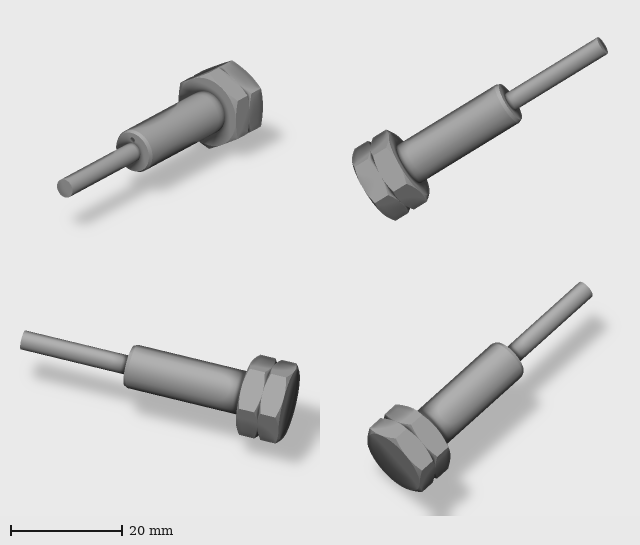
import cadquery as cq
import math

total_length = 50.0
cable_diameter = 3.5
cable_length = 20.0
body_diameter = 8.0
body_tip_chamfer_length = 0.65
body_tip_chamfer_depth = 0.3
indicator_diameter = 1.0
indicator_offset = 2.35
indicator_depth = 0.5
nut_thickness = 4.0
nut_count = 2
nut_across_flats = 13.0
nut_chamfer_angle = 30.0

nut_across_corners = nut_across_flats / math.cos(math.pi / 6)
body_length = total_length - cable_length
half_length = total_length / 2
cable_tip_y = -half_length
body_tip_y = cable_tip_y + cable_length


def plane_at(y):
    """Sketch plane at the given Y, with its normal along +Y and local y along +Z."""
    return cq.Workplane(cq.Plane(origin=(0, y, 0), xDir=(-1, 0, 0), normal=(0, 1, 0)))


def make_body():
    """Cylinder with a slender conical edge at its cable end."""
    radius = body_diameter / 2
    profile = (
        cq.Workplane("XY")
        .moveTo(0, body_tip_y)
        .lineTo(radius - body_tip_chamfer_depth, body_tip_y)
        .lineTo(radius, body_tip_y + body_tip_chamfer_length)
        .lineTo(radius, body_tip_y + body_length)
        .lineTo(0, body_tip_y + body_length)
        .close()
    )
    return profile.revolve(360, (0, 0, 0), (0, 1, 0))


def make_nut(start_y):
    """Hexagon nut with corners at +Z and -Z, coned off at both faces."""
    hexagon = (
        plane_at(start_y)
        .transformed(rotate=(0, 0, 90))
        .polygon(6, nut_across_corners)
        .extrude(nut_thickness)
    )
    face_radius = nut_across_flats / 2
    corner_radius = nut_across_corners / 2
    cone_length = (corner_radius - face_radius) * math.tan(math.radians(nut_chamfer_angle))
    end_y = start_y + nut_thickness
    envelope = (
        cq.Workplane("XY")
        .moveTo(0, start_y)
        .lineTo(face_radius, start_y)
        .lineTo(corner_radius, start_y + cone_length)
        .lineTo(corner_radius, end_y - cone_length)
        .lineTo(face_radius, end_y)
        .lineTo(0, end_y)
        .close()
        .revolve(360, (0, 0, 0), (0, 1, 0))
    )
    return hexagon.intersect(envelope)


cable = plane_at(cable_tip_y).circle(cable_diameter / 2).extrude(cable_length + body_length / 2)
indicator_hole = (
    plane_at(body_tip_y)
    .center(0, indicator_offset)
    .circle(indicator_diameter / 2)
    .extrude(indicator_depth)
)

result = make_body().cut(indicator_hole).union(cable)
for nut_index in range(nut_count):
    nut_start_y = half_length - (nut_index + 1) * nut_thickness
    result = result.union(make_nut(nut_start_y))